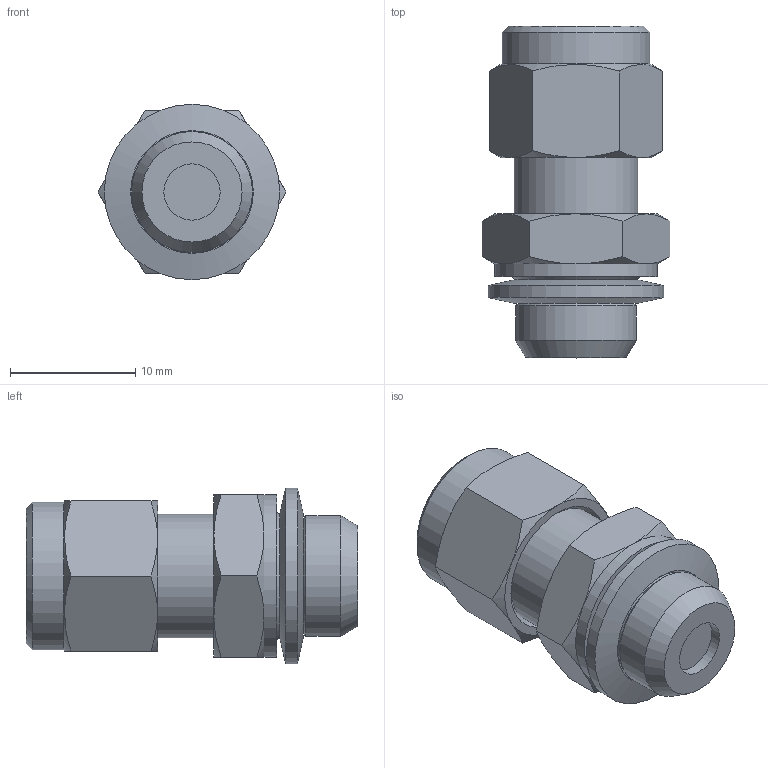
import cadquery as cq
import math

total_length = 26.5
hex_bevel_angle = 30

tip_radius = 4.0
tip_length = 1.4
thread_radius = 4.83
thread_end_y = 4.16
relief_radius = 4.6
port_radius = 2.25
port_depth = 0.85

washer_outer_radius = 7.0
washer_bore_radius = 4.9
washer_front_y = 4.36
washer_rim_width = 0.96
washer_taper_length = 0.46
washer_gap_depth = 0.3

undercut_radius = 5.15
collar_radius = 6.5
collar_start_y = 6.5
body_hex_start_y = 7.5
body_hex_end_y = 11.5
body_hex_width = 13.0
neck_radius = 4.95

nut_start_y = 16.0
nut_end_y = 23.5
nut_hex_width = 12.0
nut_countersink_radius = 5.3
sleeve_radius = 5.9
sleeve_chamfer = 0.5

relief_start_y = thread_end_y + thread_radius - relief_radius
relief_end_y = collar_start_y - (undercut_radius - relief_radius)
washer_rim_start_y = washer_front_y + washer_taper_length
washer_rim_end_y = washer_rim_start_y + washer_rim_width
washer_back_y = washer_rim_end_y + washer_taper_length


def turned(profile):
    """Revolve a closed outline of (radius, y) points about the Y axis."""
    return cq.Workplane("XY").polyline(profile).close().revolve(360, (0, 0, 0), (0, 1, 0))


def cylinder(radius, start_y, end_y):
    """Solid cylinder on the Y axis."""
    return turned([(0, start_y), (radius, start_y), (radius, end_y), (0, end_y)])


def bevelled_hexagon(width, start_y, end_y, start_radius, end_radius):
    """Hexagon with flats facing +Z and -Z, its corners bevelled by a cone at each end."""
    corner_radius = width / math.sqrt(3)
    slope = math.tan(math.radians(hex_bevel_angle))
    start_bevel = (corner_radius - start_radius) * slope
    end_bevel = (corner_radius - end_radius) * slope
    prism = (
        cq.Workplane("XZ", origin=(0, start_y, 0))
        .polygon(6, 2 * corner_radius)
        .extrude(start_y - end_y)
    )
    envelope = turned([
        (0, start_y),
        (start_radius, start_y),
        (corner_radius, start_y + start_bevel),
        (corner_radius, end_y - end_bevel),
        (end_radius, end_y),
        (0, end_y),
    ])
    return prism.intersect(envelope)


def body_core():
    """Threaded end, relief, collar and neck."""
    return turned([
        (0, 0),
        (tip_radius, 0),
        (thread_radius, tip_length),
        (thread_radius, thread_end_y),
        (relief_radius, relief_start_y),
        (relief_radius, relief_end_y),
        (undercut_radius, collar_start_y),
        (collar_radius, collar_start_y),
        (collar_radius, body_hex_start_y),
        (neck_radius, body_hex_start_y),
        (neck_radius, nut_end_y),
        (0, nut_end_y),
    ])


def washer():
    """Double-tapered washer, joined to the relief behind a shallow gap at its front."""
    gap_floor_y = washer_front_y + washer_gap_depth
    return turned([
        (0, gap_floor_y),
        (washer_bore_radius, gap_floor_y),
        (washer_bore_radius, washer_front_y),
        (washer_outer_radius, washer_rim_start_y),
        (washer_outer_radius, washer_rim_end_y),
        (washer_bore_radius, washer_back_y),
        (0, washer_back_y),
    ])


def nut():
    """Hexagon nut with a 45 degree countersink around the neck."""
    face_radius = nut_hex_width / 2
    countersink_end_y = nut_start_y + nut_countersink_radius - neck_radius
    countersink = turned([
        (neck_radius, nut_start_y),
        (nut_countersink_radius, nut_start_y),
        (neck_radius, countersink_end_y),
    ])
    hexagon = bevelled_hexagon(nut_hex_width, nut_start_y, nut_end_y, face_radius, sleeve_radius)
    return hexagon.cut(countersink)


def sleeve():
    """Plain round end of the nut with a chamfered rim."""
    return turned([
        (0, nut_end_y),
        (sleeve_radius, nut_end_y),
        (sleeve_radius, total_length - sleeve_chamfer),
        (sleeve_radius - sleeve_chamfer, total_length),
        (0, total_length),
    ])


body_hex = bevelled_hexagon(
    body_hex_width, body_hex_start_y, body_hex_end_y, collar_radius, body_hex_width / 2
)
port = cylinder(port_radius, 0, port_depth)

result = body_core().union(washer()).union(body_hex).union(nut()).union(sleeve()).cut(port)